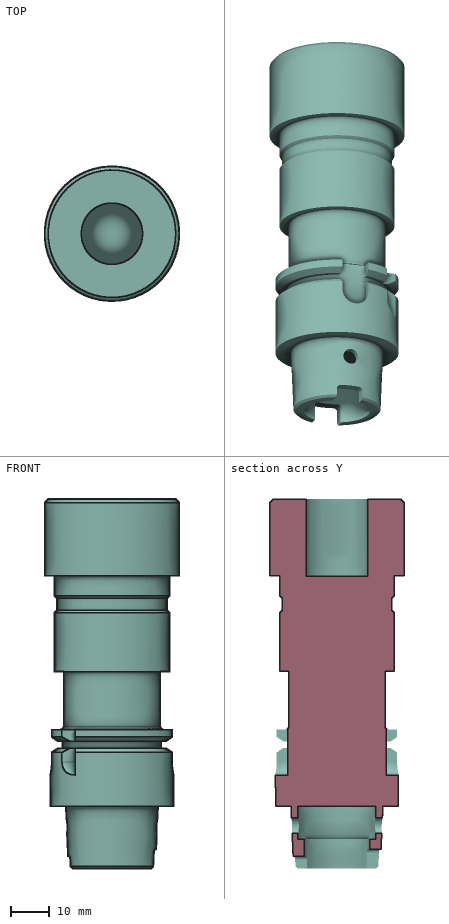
import cadquery as cq
import math

total_length = 96.0
head_diameter = 35.0
head_radius = head_diameter / 2
head_length = 20.0
head_chamfer = 1.0
body_radius = 15.0
stem_radius = 12.6
stem_top = 51.2
stem_fillet = 0.9

relief_depth = 0.7
relief_top = 70.8
relief_bottom = 66.4

flange_radius = 16.0
flange_top = 36.1
flange_bottom = 16.1
gripper_radius = 13.2
gripper_top = 33.0
gripper_bottom = 31.3
flare_height = 1.2
flare_angle = 55.0
flare_width = flare_height * math.tan(math.radians(flare_angle))

shank_top_radius = 12.0
shank_end_radius = 11.3
shank_chamfer = 0.6

bore_diameter = 15.9
bore_depth = head_length

mouth_diameter = 17.0
chamber_diameter = 20.2
chamber_bottom = 7.7
chamber_top = flange_bottom

slot_width = 7.0
slot_radius = slot_width / 2
slot_floor = 12.9
slot_bottom = 24.3

notch_wall_x = 9.5
notch_wall_y = 9.4

key_notch_height_minus_x = 3.2
key_notch_height_plus_x = 5.0
key_notch_fillet = 1.0
cross_hole_diameter = 3.9
cross_hole_height = 11.1


def turned_body():
    head_bottom = total_length - head_length
    relief_radius = body_radius - relief_depth
    flare_radius = flange_radius - flare_width
    outline = (
        cq.Workplane("XZ")
        .lineTo(shank_end_radius - shank_chamfer, 0)
        .lineTo(shank_end_radius, shank_chamfer)
        .lineTo(shank_top_radius, flange_bottom)
        .lineTo(flange_radius, flange_bottom)
        .lineTo(flange_radius, gripper_bottom - flare_height)
        .lineTo(flare_radius, gripper_bottom)
        .lineTo(gripper_radius, gripper_bottom)
        .lineTo(gripper_radius, gripper_top)
        .lineTo(flare_radius, gripper_top)
        .lineTo(flange_radius, gripper_top + flare_height)
        .lineTo(flange_radius, flange_top)
        .lineTo(stem_radius + stem_fillet, flange_top)
        .radiusArc((stem_radius, flange_top + stem_fillet), stem_fillet)
        .lineTo(stem_radius, stem_top)
        .lineTo(body_radius, stem_top)
        .lineTo(body_radius, relief_bottom)
        .lineTo(relief_radius, relief_bottom + relief_depth)
        .lineTo(relief_radius, relief_top - relief_depth)
        .lineTo(body_radius, relief_top)
        .lineTo(body_radius, head_bottom)
        .lineTo(head_radius, head_bottom)
        .lineTo(head_radius, total_length - head_chamfer)
        .lineTo(head_radius - head_chamfer, total_length)
        .lineTo(0, total_length)
        .close()
    )
    return outline.revolve(360, (0, 0, 0), (0, 1, 0))


def bore():
    return (
        cq.Workplane("XY", origin=(0, 0, total_length))
        .circle(bore_diameter / 2)
        .extrude(-bore_depth)
    )


def clamping_cavity():
    mouth = cq.Workplane("XY").circle(mouth_diameter / 2).extrude(chamber_top)
    chamber = (
        cq.Workplane("XY", origin=(0, 0, chamber_bottom))
        .circle(chamber_diameter / 2)
        .extrude(chamber_top - chamber_bottom)
    )
    return mouth.union(chamber)


def flange_slot(center_y, inner_x, side):
    """Round-bottomed slot, open at the flange top, reaching outward along X from inner_x."""
    arc_center = slot_bottom + slot_radius
    return (
        cq.Workplane("YZ", origin=(side * inner_x, 0, 0))
        .moveTo(center_y - slot_radius, flange_top)
        .lineTo(center_y - slot_radius, arc_center)
        .threePointArc((center_y, slot_bottom), (center_y + slot_radius, arc_center))
        .lineTo(center_y + slot_radius, flange_top)
        .close()
        .extrude(side * flange_radius)
    )


def key_notch(height, side):
    """Notch across the shank end, from the axis outward, with rounded inner corners."""
    return (
        cq.Workplane("XY")
        .box(flange_radius, slot_width, height, centered=(False, True, False))
        .edges("|X and >Z")
        .fillet(key_notch_fillet)
        .translate((0 if side > 0 else -flange_radius, 0, 0))
    )


def cross_hole():
    return (
        cq.Workplane("YZ", origin=(0, 0, cross_hole_height))
        .circle(cross_hole_diameter / 2)
        .extrude(flange_radius, both=True)
    )


result = turned_body().cut(bore()).cut(clamping_cavity())

for side in (-1, 1):
    result = result.cut(flange_slot(0, slot_floor, side))
result = result.cut(flange_slot(-notch_wall_y - slot_radius, notch_wall_x, -1))

result = result.cut(key_notch(key_notch_height_minus_x, -1))
result = result.cut(key_notch(key_notch_height_plus_x, 1))
result = result.cut(cross_hole())